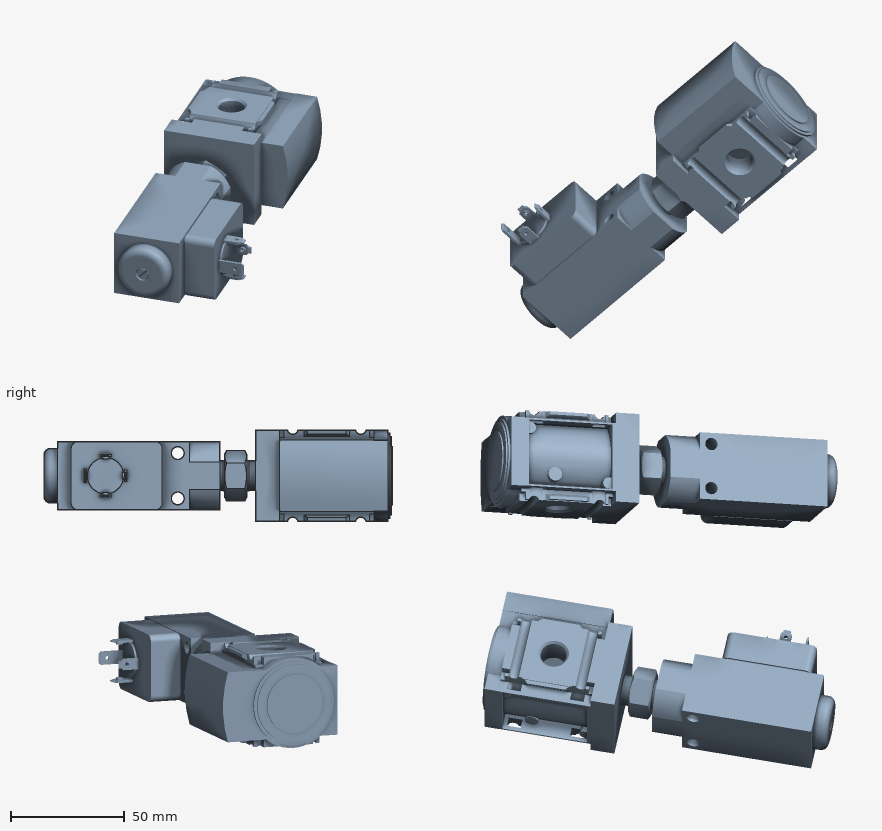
import cadquery as cq
import math


BLOCK_WIDTH = 41.8
BLOCK_HEIGHT = 40.2
LEDGE_HEIGHT = 30.7
CAP_SIDE_HEIGHT = 31.0
COVER_HEIGHT = 31.3
FLANGE_DEPTH = 10.6
CAP_START = 52.2
BLOCK_END = 58.2

PAD_WIDTH = 30.7
PAD_MID_WIDTH = 23.0
PAD_NOTCH_DEPTH = 3.7
PAD_NOTCH_FLOOR = 16.7
NOTCH_POST_LENGTH = 1.7
NOTCH_POST_WIDTH = 1.5
PORT_Y = 31.3
PORT_DIAMETER = 11.5
PORT_MOUTH_DIAMETER = 13.5
PORT_DEPTH = 12.3
GROOVE_SPACING = 30.0
GROOVE_RADIUS = 2.3
GROOVE_AXIS_RISE = 0.5

TAB_REACH = 1.8
TAB_LENGTH = 20.0
TAB_END_BEVEL = 1.5
TAB_DROP = 0.3
TAB_EDGE_HEIGHT = 18.5
TAB_ROOT_HEIGHT = 17.2

POCKET_LENGTH = 38.0
POCKET_HEIGHT = 29.2
POCKET_DEPTH = 13.2
CARTRIDGE_DIAMETER = 37.6
SLOT_LENGTH = 6.1
SLOT_WIDTH = 4.3
SLOT_SPACING = 28.3
SLOT_CENTER_X = -16.9
PIN_BOSS_DIAMETER = 6.1
PIN_BOSS_Y = 37.6
PIN_BOSS_Z = -8.6
PIN_BOSS_FACE_X = -18.3
CORNER_BOSS_DIAMETER = 5.0
CORNER_BOSS_Y = 17.8
CORNER_BOSS_Z = 11.5
CORNER_BOSS_FACE_X = -19.0

COVER_EDGE_X = 30.7
COVER_CROWN_X = 33.0

DISC_STEPS = [(37.6, 0.9), (34.7, 0.6), (26.0, 0.6)]

FITTING_LENGTH = 15.7
THREAD_DIAMETER = 13.2
COLLAR_DIAMETER = 13.5
COLLAR_START = 2.9
COLLAR_END = 14.5
HEX_START = 3.8
HEX_LENGTH = 9.8
HEX_ACROSS_FLATS = 19.4
HEX_FACE_DIAMETER = 18.7
HEX_BEVEL = 0.9

SWITCH_WIDTH = 30.1
SWITCH_FRONT = -FITTING_LENGTH
NOSE_LENGTH = 13.5
NOSE_FLAT_WIDTH = 12.0
SWITCH_BACK = -87.1
MOUNT_HOLE_DIAMETER = 5.5
MOUNT_HOLE_SPACING = 20.0
MOUNT_HOLE_Y = -34.3

KNOB_DIAMETER = 24.1
KNOB_LENGTH = 6.1
KNOB_FILLET = 3.0
SCREW_RECESS_DIAMETER = 6.0
SCREW_DIAMETER = 5.0
SCREW_RECESS_DEPTH = 1.5
SCREW_SINK = 0.3
SCREW_SLOT_WIDTH = 0.9
SCREW_SLOT_ANGLE = 45

PLUG_START_X = 15.8
PLUG_END_X = 29.3
PLUG_Y = -61.1
PLUG_LENGTH = 40.1
PLUG_HEIGHT = SWITCH_WIDTH
PLUG_CORNER = 3.0
NECK_INSET = 0.8
SEAT_DIAMETER = 16.0
SEAT_HEIGHT = 0.9

BLADE_AXIS_Y = -66.0
BLADE_RADIUS = 8.9
BLADE_THICKNESS = 1.0
BLADE_EDGE_THICKNESS = 0.3
BLADE_EDGE_LENGTH = 1.2
BLADE_HOLE_DIAMETER = 1.7
BLADE_COLLAR_DIAMETER = 3.0
BLADE_COLLAR_HEIGHT = 0.9
CONTACT_WIDTH = 5.0
CONTACT_NOSE_WIDTH = 3.2
CONTACT_NOSE_LENGTH = 2.2
CONTACT_TIP_X = 38.5
CONTACT_HOLE_X = 34.7
GROUND_WIDTH = 5.8
GROUND_NOSE_WIDTH = 4.3
GROUND_NOSE_LENGTH = 1.0
GROUND_TIP_X = 41.2
GROUND_HOLE_X = 37.2

HALF_WIDTH = BLOCK_WIDTH / 2
HALF_HEIGHT = BLOCK_HEIGHT / 2
HALF_LEDGE = LEDGE_HEIGHT / 2
HALF_CAP_SIDE = CAP_SIDE_HEIGHT / 2
HALF_COVER = COVER_HEIGHT / 2


def box(x, y, z):
    """Box from (low, high) limits along each axis."""
    size = (x[1] - x[0], y[1] - y[0], z[1] - z[0])
    return cq.Workplane("XY").box(*size, centered=False).translate((x[0], y[0], z[0]))


def cylinder_y(diameter, start, end):
    """Cylinder on the Y axis between two Y positions."""
    return cq.Workplane("XZ", origin=(0, end, 0)).circle(diameter / 2).extrude(end - start)


def cylinder_x(diameter, start, end, y, z):
    """Cylinder parallel to X between two X positions."""
    return cq.Workplane("YZ", origin=(start, y, z)).circle(diameter / 2).extrude(end - start)


def block_core():
    """Flange, narrower core and the end cap with its round crown."""
    sides = (-HALF_WIDTH, HALF_WIDTH)
    flange = box(sides, (0, FLANGE_DEPTH), (-HALF_HEIGHT, HALF_HEIGHT))
    core = box(sides, (FLANGE_DEPTH, CAP_START), (-HALF_LEDGE, HALF_LEDGE))
    cap = box(sides, (CAP_START, BLOCK_END), (-HALF_CAP_SIDE, HALF_CAP_SIDE))
    crown = cylinder_y(BLOCK_HEIGHT, CAP_START, BLOCK_END)
    return flange.union(core).union(cap).union(crown)


def side_cover():
    """Cover on the +X side with a shallow crowned face."""
    outline = (
        cq.Workplane("XZ", origin=(0, BLOCK_END, 0))
        .moveTo(HALF_WIDTH, -HALF_COVER)
        .lineTo(COVER_EDGE_X, -HALF_COVER)
        .threePointArc((COVER_CROWN_X, 0), (COVER_EDGE_X, HALF_COVER))
        .lineTo(HALF_WIDTH, HALF_COVER)
        .close()
    )
    return outline.extrude(BLOCK_END - FLANGE_DEPTH)


def adjusting_disc():
    """Stack of discs that get smaller away from the end cap."""
    start = BLOCK_END
    disc = cq.Workplane("XY")
    for diameter, thickness in DISC_STEPS:
        disc = disc.union(cylinder_y(diameter, start, start + thickness))
        start += thickness
    return disc


def dovetail_tab():
    """Tab on the +X side of the top pad, undercut below and bevelled in plan at both ends."""
    root = PAD_WIDTH / 2
    tip = root + TAB_REACH
    half = TAB_LENGTH / 2
    top = HALF_HEIGHT - TAB_DROP
    plan = (
        cq.Workplane("XY", origin=(0, PORT_Y, HALF_LEDGE))
        .polyline([(root, -half), (tip, TAB_END_BEVEL - half), (tip, half - TAB_END_BEVEL), (root, half)])
        .close()
        .extrude(top - HALF_LEDGE)
    )
    section = (
        cq.Workplane("XZ", origin=(0, PORT_Y + half, 0))
        .polyline([(root, TAB_ROOT_HEIGHT), (tip, TAB_EDGE_HEIGHT), (tip, top), (root, top)])
        .close()
        .extrude(TAB_LENGTH)
    )
    return plan.intersect(section)


def corner_notch():
    """Material removed at the (+X, -Y) corner of the top pad, leaving a small post at its edge."""
    outer = PAD_WIDTH / 2
    far = FLANGE_DEPTH + PAD_NOTCH_DEPTH
    heights = (PAD_NOTCH_FLOOR, HALF_HEIGHT)
    notch = box((PAD_MID_WIDTH / 2, outer), (FLANGE_DEPTH, far), heights)
    post = box((outer - NOTCH_POST_WIDTH, outer), (far - NOTCH_POST_LENGTH, far), heights)
    return notch.cut(post)


def port_pad():
    """Top pad with tabs, corner notches, and cross grooves, before its port is cut."""
    half = PAD_WIDTH / 2
    pad = box((-half, half), (FLANGE_DEPTH, CAP_START), (HALF_LEDGE, HALF_HEIGHT))
    notch = corner_notch().union(corner_notch().mirror("YZ"))
    far_notch = notch.mirror("XZ").translate((0, FLANGE_DEPTH + CAP_START, 0))
    pad = pad.cut(notch).cut(far_notch)
    for side in (-1, 1):
        groove_y = PORT_Y + side * GROOVE_SPACING / 2
        pad = pad.cut(
            cylinder_x(2 * GROOVE_RADIUS, -half, half, groove_y, HALF_HEIGHT + GROOVE_AXIS_RISE)
        )
    return pad.union(dovetail_tab()).union(dovetail_tab().mirror("YZ"))


def port_hole():
    """Blind port from the top pad with a conical mouth."""
    mouth_radius = PORT_MOUTH_DIAMETER / 2
    radius = PORT_DIAMETER / 2
    floor = HALF_HEIGHT - PORT_DEPTH
    mouth_floor = HALF_HEIGHT - (mouth_radius - radius)
    half_section = [
        (0, floor),
        (radius, floor),
        (radius, mouth_floor),
        (mouth_radius, HALF_HEIGHT),
        (0, HALF_HEIGHT),
    ]
    return cq.Workplane("XZ", origin=(0, PORT_Y, 0)).polyline(half_section).close().revolve()


def pocket():
    """Rectangular window in the -X side."""
    start = PORT_Y - POCKET_LENGTH / 2
    return box(
        (-HALF_WIDTH, POCKET_DEPTH - HALF_WIDTH),
        (start, start + POCKET_LENGTH),
        (-POCKET_HEIGHT / 2, POCKET_HEIGHT / 2),
    )


def pad_side_slots():
    """Two vertical slots through the pocket's roof and floor beside the pads."""
    centers = [(SLOT_CENTER_X, PORT_Y - SLOT_SPACING / 2), (SLOT_CENTER_X, PORT_Y + SLOT_SPACING / 2)]
    plane = cq.Workplane("XY", origin=(0, 0, -HALF_HEIGHT))
    return plane.pushPoints(centers).rect(SLOT_WIDTH, SLOT_LENGTH).extrude(BLOCK_HEIGHT)


def cartridge():
    """Round cartridge inside the pocket."""
    length = POCKET_LENGTH / 2
    rod = cylinder_y(CARTRIDGE_DIAMETER, PORT_Y - length, PORT_Y + length)
    return rod.intersect(pocket())


def pin_boss():
    """Round boss that stands out of the cartridge."""
    root = POCKET_DEPTH - HALF_WIDTH
    return cylinder_x(PIN_BOSS_DIAMETER, PIN_BOSS_FACE_X, root, PIN_BOSS_Y, PIN_BOSS_Z)


def corner_boss():
    """Boss near the pocket's (+Y, +Z) corner, round below and joined to the end wall and roof."""
    center_y = PORT_Y + CORNER_BOSS_Y
    radius = CORNER_BOSS_DIAMETER / 2
    root = POCKET_DEPTH - HALF_WIDTH
    web = box(
        (CORNER_BOSS_FACE_X, root),
        (center_y, PORT_Y + POCKET_LENGTH / 2),
        (CORNER_BOSS_Z - radius, POCKET_HEIGHT / 2),
    )
    stub = cylinder_x(CORNER_BOSS_DIAMETER, CORNER_BOSS_FACE_X, root, center_y, CORNER_BOSS_Z)
    return stub.union(web)


def make_valve_block():
    pad = port_pad()
    block = block_core().union(pad).union(pad.mirror("XY"))
    block = block.cut(pocket()).cut(pad_side_slots())
    block = block.union(cartridge())
    block = block.union(pin_boss())
    opposite_boss = corner_boss().rotate((0, PORT_Y, 0), (1, PORT_Y, 0), 180)
    block = block.union(corner_boss()).union(opposite_boss)
    block = block.cut(port_hole()).cut(port_hole().mirror("XY"))
    return block.union(side_cover()).union(adjusting_disc())


def make_fitting():
    """Threaded stem with a collar and a hexagon whose corners are bevelled at both ends."""
    corner_diameter = HEX_ACROSS_FLATS / math.cos(math.pi / 6)
    hexagon = (
        cq.Workplane("XZ", origin=(0, -HEX_START, 0))
        .polygon(6, corner_diameter)
        .extrude(HEX_LENGTH)
        .rotate((0, 0, 0), (0, 1, 0), 30)
    )
    face_radius = HEX_FACE_DIAMETER / 2
    corner_radius = corner_diameter / 2
    near = -HEX_START
    far = -HEX_START - HEX_LENGTH
    turned = (
        cq.Workplane("XY")
        .polyline([
            (0, near),
            (face_radius, near),
            (corner_radius, near - HEX_BEVEL),
            (corner_radius, far + HEX_BEVEL),
            (face_radius, far),
            (0, far),
        ])
        .close()
        .revolve(360, (0, 0, 0), (0, 1, 0))
    )
    stem = cylinder_y(THREAD_DIAMETER, -FITTING_LENGTH, 0)
    collar = cylinder_y(COLLAR_DIAMETER, -COLLAR_END, -COLLAR_START)
    return stem.union(collar).union(hexagon.intersect(turned))


def switch_body():
    """Square body whose nose has rounded corners, with two cross holes."""
    half = SWITCH_WIDTH / 2
    nose_end = SWITCH_FRONT - NOSE_LENGTH
    nose_diameter = math.hypot(SWITCH_WIDTH, NOSE_FLAT_WIDTH)
    square = box((-half, half), (nose_end, SWITCH_FRONT), (-half, half))
    nose = square.intersect(cylinder_y(nose_diameter, nose_end, SWITCH_FRONT))
    body = box((-half, half), (SWITCH_BACK, nose_end), (-half, half)).union(nose)
    for side in (-1, 1):
        hole_z = side * MOUNT_HOLE_SPACING / 2
        body = body.cut(cylinder_x(MOUNT_HOLE_DIAMETER, -half, half, MOUNT_HOLE_Y, hole_z))
    return body


def adjusting_knob():
    """Round knob with a slotted screw set in its end."""
    end = SWITCH_BACK - KNOB_LENGTH
    recess_floor = end + SCREW_RECESS_DEPTH
    knob = cylinder_y(KNOB_DIAMETER, end, SWITCH_BACK).faces("<Y").edges().fillet(KNOB_FILLET)
    knob = knob.cut(cylinder_y(SCREW_RECESS_DIAMETER, end, recess_floor))
    screw = cylinder_y(SCREW_DIAMETER, end + SCREW_SINK, recess_floor)
    slot = (
        cq.Workplane("XZ", origin=(0, recess_floor, 0))
        .rect(SCREW_DIAMETER, SCREW_SLOT_WIDTH)
        .extrude(SCREW_RECESS_DEPTH)
        .rotate((0, 0, 0), (0, 1, 0), -SCREW_SLOT_ANGLE)
    )
    return knob.union(screw.cut(slot))


def rounded_block(start, end, inset):
    """Plug socket block between two X positions, smaller all round by the inset."""
    return (
        cq.Workplane("YZ", origin=(start, PLUG_Y, 0))
        .rect(PLUG_LENGTH - 2 * inset, PLUG_HEIGHT - 2 * inset)
        .extrude(end - start)
        .edges("|X")
        .fillet(PLUG_CORNER - inset)
    )


def plug_socket():
    """Socket block on a slightly smaller neck, with a round seat between the blades."""
    neck = rounded_block(SWITCH_WIDTH / 2, PLUG_START_X, NECK_INSET)
    socket = rounded_block(PLUG_START_X, PLUG_END_X, 0)
    seat = cylinder_x(SEAT_DIAMETER, PLUG_END_X, PLUG_END_X + SEAT_HEIGHT, BLADE_AXIS_Y, 0)
    return neck.union(socket).union(seat)


def blade(width, nose_width, nose_length, tip_x, hole_x, collar_height):
    """Contact blade above the socket axis, its nose narrowed and its edge thinned."""
    half = width / 2
    half_nose = nose_width / 2
    shoulder_x = tip_x - nose_length
    nose_x = shoulder_x + half - half_nose
    edge_x = tip_x - BLADE_EDGE_LENGTH
    half_thick = BLADE_THICKNESS / 2
    half_edge = BLADE_EDGE_THICKNESS / 2
    plan = [(PLUG_END_X, -half), (shoulder_x, -half), (nose_x, -half_nose), (tip_x, -half_nose)]
    plan += [(x, -y) for x, y in reversed(plan)]
    side = [(PLUG_END_X, -half_thick), (edge_x, -half_thick), (tip_x, -half_edge)]
    side += [(x, -z) for x, z in reversed(side)]
    flat = cq.Workplane("XY", origin=(0, 0, -half_thick)).polyline(plan).close().extrude(BLADE_THICKNESS)
    edge = cq.Workplane("XZ", origin=(0, half, 0)).polyline(side).close().extrude(width)
    shape = flat.intersect(edge)
    bottom = cq.Workplane("XY", origin=(hole_x, 0, -half_thick - collar_height))
    if collar_height > 0:
        shape = shape.union(bottom.circle(BLADE_COLLAR_DIAMETER / 2).extrude(collar_height))
    shape = shape.cut(bottom.circle(BLADE_HOLE_DIAMETER / 2).extrude(BLADE_THICKNESS + collar_height))
    return shape.translate((0, BLADE_AXIS_Y, BLADE_RADIUS))


def turned_about_socket(shape, angle):
    """Shape turned about the socket axis, which is parallel to X."""
    return shape.rotate((0, BLADE_AXIS_Y, 0), (1, BLADE_AXIS_Y, 0), angle)


def make_switch():
    switch = switch_body().union(adjusting_knob()).union(plug_socket())
    contact = blade(
        CONTACT_WIDTH,
        CONTACT_NOSE_WIDTH,
        CONTACT_NOSE_LENGTH,
        CONTACT_TIP_X,
        CONTACT_HOLE_X,
        BLADE_COLLAR_HEIGHT,
    )
    for angle in (-90, 0, 180):
        switch = switch.union(turned_about_socket(contact, angle))
    ground = blade(GROUND_WIDTH, GROUND_NOSE_WIDTH, GROUND_NOSE_LENGTH, GROUND_TIP_X, GROUND_HOLE_X, 0)
    return switch.union(turned_about_socket(ground, 90))


valve_block = make_valve_block()
fitting = make_fitting()
switch = make_switch()

result = cq.Compound.makeCompound([
    *valve_block.solids().vals(),
    *fitting.solids().vals(),
    *switch.solids().vals(),
])